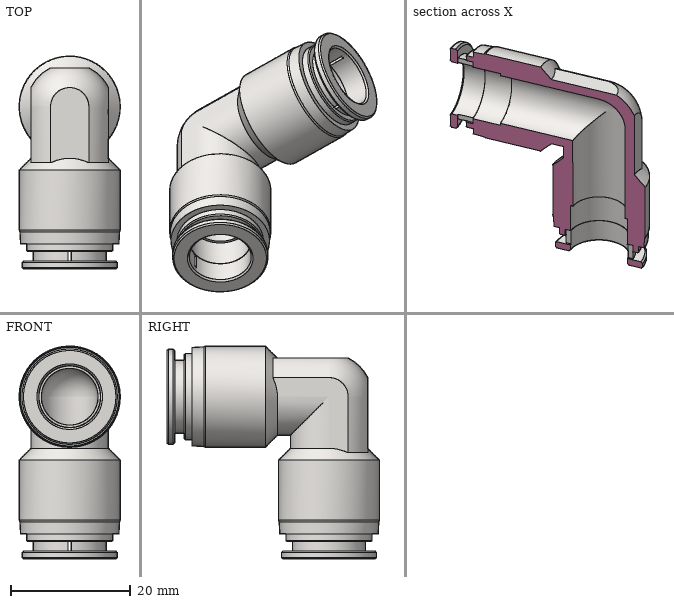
import cadquery as cq

ELBOW_WIDTH = 13.0
ELBOW_CORNER_RADIUS = 7.25
ELBOW_BORE_RADIUS = 4.75

SLEEVE_RADIUS = 8.5
SHOULDER_START = 8.65
SLEEVE_END = 20.7
CAP_START = 21.0
CAP_RADIUS = 8.38
CAP_END_RADIUS = 8.27
CAP_END = 23.0
GUIDE_RADIUS = 7.25
GUIDE_END = 24.3
GUIDE_CHAMFER = 0.2

NECK_RADIUS = 6.15
FLANGE_START = 25.85
FLANGE_END = 27.2
FLANGE_RADIUS = 8.0
FLANGE_BACK_CHAMFER = 0.3
FLANGE_FRONT_CHAMFER = 0.25
TUBE_RADIUS = 5.2
SEAT_RADIUS = 5.15
MOUTH_CHAMFER = 0.3
TUBE_STOP = 18.0
SLIT_WIDTH = 0.5
SLIT_START = 23.05

ELBOW_HALF_WIDTH = ELBOW_WIDTH / 2
SHOULDER_END = SHOULDER_START + SLEEVE_RADIUS - ELBOW_HALF_WIDTH
ARM_LENGTH = SHOULDER_END


def to_horizontal(shape):
    """Swap a shape built along -Z onto the -Y port."""
    return shape.mirror("XY").rotate((0, 0, 0), (1, 0, 0), 90)


def down_cylinder(radius, start, end):
    """Cylinder on the Z axis between two distances below the origin."""
    return cq.Workplane("XY").workplane(offset=-end).circle(radius).extrude(end - start)


def elbow_arm():
    """Vertical arm: flattened outer half (+Y) joined to a round inner half."""
    outer = down_cylinder(ELBOW_CORNER_RADIUS, 0, ARM_LENGTH).intersect(
        cq.Workplane("XY").box(
            ELBOW_WIDTH, ELBOW_HALF_WIDTH, ARM_LENGTH, centered=(True, False, False)
        ).translate((0, 0, -ARM_LENGTH))
    )
    return outer.union(down_cylinder(ELBOW_HALF_WIDTH, 0, ARM_LENGTH))


def elbow_corner():
    """Outer corner of the bend: a ball flattened on every side."""
    block = cq.Workplane("XY").box(
        ELBOW_WIDTH, ELBOW_HALF_WIDTH, ELBOW_HALF_WIDTH, centered=(True, False, False)
    )
    return block.intersect(cq.Workplane("XY").sphere(ELBOW_CORNER_RADIUS))


def port_body():
    """Sleeve, cap, guide ring and collet turned about the Z axis."""
    profile = [
        (0, SHOULDER_START),
        (ELBOW_HALF_WIDTH, SHOULDER_START),
        (SLEEVE_RADIUS, SHOULDER_END),
        (SLEEVE_RADIUS, SLEEVE_END),
        (CAP_RADIUS, CAP_START),
        (CAP_END_RADIUS, CAP_END),
        (GUIDE_RADIUS, CAP_END),
        (GUIDE_RADIUS, GUIDE_END - GUIDE_CHAMFER),
        (GUIDE_RADIUS - GUIDE_CHAMFER, GUIDE_END),
        (NECK_RADIUS, GUIDE_END),
        (NECK_RADIUS, FLANGE_START),
        (FLANGE_RADIUS - FLANGE_BACK_CHAMFER, FLANGE_START),
        (FLANGE_RADIUS, FLANGE_START + FLANGE_BACK_CHAMFER),
        (FLANGE_RADIUS, FLANGE_END - FLANGE_FRONT_CHAMFER),
        (FLANGE_RADIUS - FLANGE_FRONT_CHAMFER, FLANGE_END),
        (0, FLANGE_END),
    ]
    points = [(radius, -distance) for radius, distance in profile]
    return cq.Workplane("XZ").polyline(points).close().revolve(360, (0, 0), (0, 1))


def port_bore():
    """Flow bore, tube socket with chamfered mouth, and the collet slits."""
    profile = [
        (0, 0),
        (ELBOW_BORE_RADIUS, 0),
        (ELBOW_BORE_RADIUS, TUBE_STOP),
        (SEAT_RADIUS, TUBE_STOP),
        (SEAT_RADIUS, SLIT_START),
        (TUBE_RADIUS, SLIT_START),
        (TUBE_RADIUS, FLANGE_END - MOUTH_CHAMFER),
        (TUBE_RADIUS + MOUTH_CHAMFER, FLANGE_END),
        (0, FLANGE_END),
    ]
    points = [(radius, -distance) for radius, distance in profile]
    bore = cq.Workplane("XZ").polyline(points).close().revolve(360, (0, 0), (0, 1))
    slit_length = FLANGE_START - SLIT_START
    slit = cq.Workplane("XY").box(
        SLIT_WIDTH, 2 * SLEEVE_RADIUS, slit_length, centered=(True, True, False)
    ).translate((0, 0, -FLANGE_START))
    return bore.union(slit.intersect(down_cylinder(NECK_RADIUS, SLIT_START, FLANGE_START)))


arm = elbow_arm()
port = port_body()
bore = port_bore()

result = elbow_corner()
for solid in (arm, port):
    result = result.union(solid).union(to_horizontal(solid))
for cavity in (bore, to_horizontal(bore), cq.Workplane("XY").sphere(ELBOW_BORE_RADIUS)):
    result = result.cut(cavity)